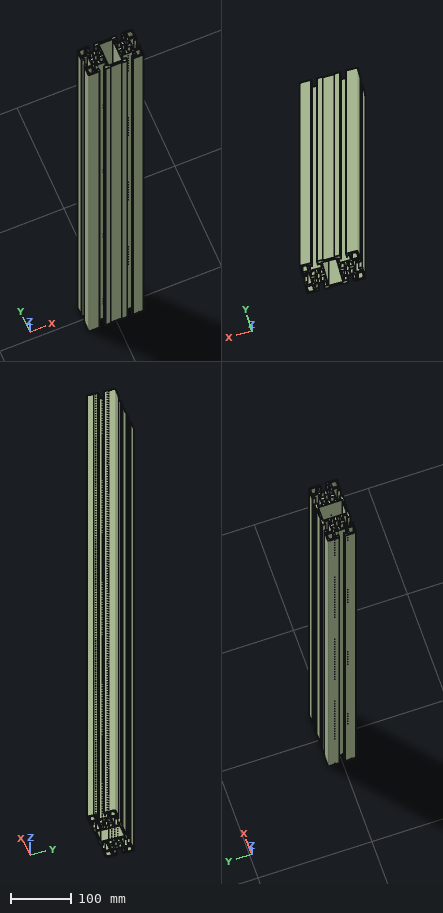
import cadquery as cq

LENGTH = 1000.0
MODULE = 50.0
HALF_MODULE = MODULE / 2
CORNER_RADIUS = 2.0

SLOT_OPENING = 10.0
SLOT_INNER_WIDTH = 20.0
CORE_WIDTH = 25.0
MOUTH_CHAMFER = 0.5
LIP_THICKNESS = 6.0
CORNER_LIP_ROOT = 2.0
BAY_LIP_ROOT = 5.0

VOID_SKIN = 2.0
VOID_SIZE = 10.0
VOID_RADIUS = 4.0

BORE_DIAMETER = 9.5
RIB_THICKNESS = 5.0
POCKET_SPAN = 21.0
POCKET_INNER_CHAMFER = 1.0
POCKET_OUTER_CHAMFER = 3.0

BAY_WIDTH = 25.0
BAY_HEIGHT = 42.0
RECESS_WIDTH = 20.0
RECESS_DEPTH = 1.0

ORIGIN = (0, 0, 0)
Z_AXIS = (0, 0, 1)


def full_length_box(width, height):
    return cq.Workplane("XY").rect(width, height).extrude(LENGTH)


def prism(points, angle):
    """Full-length prism on the given outline, turned about the module axis."""
    return cq.Workplane("XY").polyline(points).close().extrude(LENGTH).rotate(ORIGIN, Z_AXIS, angle)


def t_slot(angle, left_root, right_root):
    """T-slot opening towards +Y before the turn; each lip thins from the opening to its root."""

    def right_half(root):
        opening = SLOT_OPENING / 2
        inner = SLOT_INNER_WIDTH / 2
        return [
            (opening + MOUTH_CHAMFER, HALF_MODULE),
            (opening, HALF_MODULE - MOUTH_CHAMFER),
            (opening, HALF_MODULE - LIP_THICKNESS),
            (inner, HALF_MODULE - root),
            (inner, CORE_WIDTH / 2),
        ]

    left_half = [(-x, y) for x, y in reversed(right_half(left_root))]
    return prism(right_half(right_root) + left_half, angle)


def corner_void(angle):
    """Square hollow in the +X +Y corner of the module before the turn, rounded at its outer corner."""
    center = HALF_MODULE - VOID_SKIN - VOID_SIZE / 2
    void = full_length_box(VOID_SIZE, VOID_SIZE).edges("|Z and >X and >Y").fillet(VOID_RADIUS)
    return void.translate((center, center, 0)).rotate(ORIGIN, Z_AXIS, angle)


def core_pocket(angle):
    """Square pocket in one quadrant of the core, chamfered towards and away from the bore."""
    near = RIB_THICKNESS / 2
    far = POCKET_SPAN / 2
    near_cut = near + POCKET_INNER_CHAMFER
    far_cut = far - POCKET_OUTER_CHAMFER
    outline = [
        (near_cut, near),
        (far, near),
        (far, far_cut),
        (far_cut, far),
        (near, far),
        (near, near_cut),
    ]
    return prism(outline, angle)


def module_cutters():
    """All cutters of the -X module, centred on the module axis."""
    cutters = [
        t_slot(0, CORNER_LIP_ROOT, BAY_LIP_ROOT),
        t_slot(90, CORNER_LIP_ROOT, CORNER_LIP_ROOT),
        t_slot(180, BAY_LIP_ROOT, CORNER_LIP_ROOT),
        cq.Workplane("XY").circle(BORE_DIAMETER / 2).extrude(LENGTH),
    ]
    cutters += [corner_void(angle) for angle in (90, 180)]
    cutters += [core_pocket(angle) for angle in (0, 90, 180, 270)]
    return cutters


bar = full_length_box(2 * MODULE, MODULE).edges("|Z").fillet(CORNER_RADIUS)

for cutter in module_cutters():
    left_cutter = cutter.translate((-HALF_MODULE, 0, 0))
    bar = bar.cut(left_cutter).cut(left_cutter.mirror("YZ"))

bar = bar.cut(full_length_box(BAY_WIDTH, BAY_HEIGHT))

recess = full_length_box(RECESS_WIDTH, 2 * RECESS_DEPTH)
for y_side in (1, -1):
    bar = bar.cut(recess.translate((0, y_side * HALF_MODULE, 0)))

result = bar